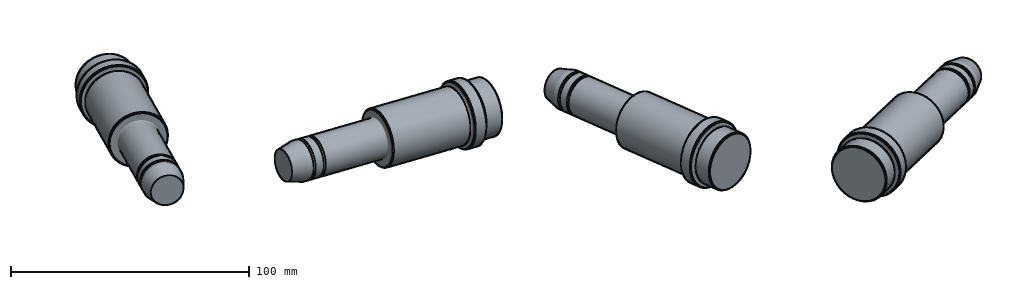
import cadquery as cq
import math

LENGTH = 100.0
EDGE_CHAMFER = 0.5

BODY_DIAMETER = 26.0
BODY_END = 54.0
COLLAR_DIAMETER = 30.0
COLLAR_START = 9.0
COLLAR_WIDTH = 6.0
COLLAR_END = COLLAR_START + COLLAR_WIDTH

SHANK_DIAMETER = 18.0
SHANK_ROOT_FILLET = 0.5
TIP_LENGTH = 7.0
TIP_ANGLE = 15.0

GROOVE_RADIUS = 0.5
RELIEF_CENTERS = (COLLAR_START - GROOVE_RADIUS, COLLAR_END + GROOVE_RADIUS)
RING_GROOVE_CENTERS = (85.0, 90.0)


def chamfered_bar(start, end, diameter):
    """Round bar along X between two positions, with both rims chamfered."""
    bar = cq.Workplane("YZ", origin=(start, 0, 0)).circle(diameter / 2).extrude(end - start)
    return bar.edges("%CIRCLE").chamfer(EDGE_CHAMFER)


def cut_groove(bar, center, diameter):
    """Cut a half-round groove around a bar of the given diameter."""
    section = cq.Workplane("XY").center(center, diameter / 2).circle(GROOVE_RADIUS)
    ring = section.revolve(360, (0, -diameter / 2, 0), (1, -diameter / 2, 0))
    return bar.cut(ring)


def make_body():
    """Main bar with a relief groove on each side of the collar."""
    body = chamfered_bar(0, BODY_END, BODY_DIAMETER)
    for center in RELIEF_CENTERS:
        body = cut_groove(body, center, BODY_DIAMETER)
    return body


def make_collar():
    """Locating collar around the main bar."""
    return chamfered_bar(COLLAR_START, COLLAR_END, COLLAR_DIAMETER)


def make_shank():
    """Shank with a filleted root, a conical tip and ring grooves; it starts on the end face of the body."""
    radius = SHANK_DIAMETER / 2
    tip_radius = radius - TIP_LENGTH * math.tan(math.radians(TIP_ANGLE))
    fillet_start = (BODY_END, radius + SHANK_ROOT_FILLET)
    fillet_end = (BODY_END + SHANK_ROOT_FILLET, radius)
    fillet_inset = SHANK_ROOT_FILLET * (1 - math.sqrt(0.5))
    fillet_middle = (BODY_END + fillet_inset, radius + fillet_inset)
    profile = (
        cq.Workplane("XY")
        .moveTo(BODY_END, 0)
        .lineTo(*fillet_start)
        .threePointArc(fillet_middle, fillet_end)
        .lineTo(LENGTH - TIP_LENGTH, radius)
        .lineTo(LENGTH, tip_radius)
        .lineTo(LENGTH, 0)
        .close()
    )
    shank = profile.revolve(360, (0, 0, 0), (1, 0, 0))
    for center in RING_GROOVE_CENTERS:
        shank = cut_groove(shank, center, SHANK_DIAMETER)
    return shank


result = make_body().union(make_collar()).union(make_shank())